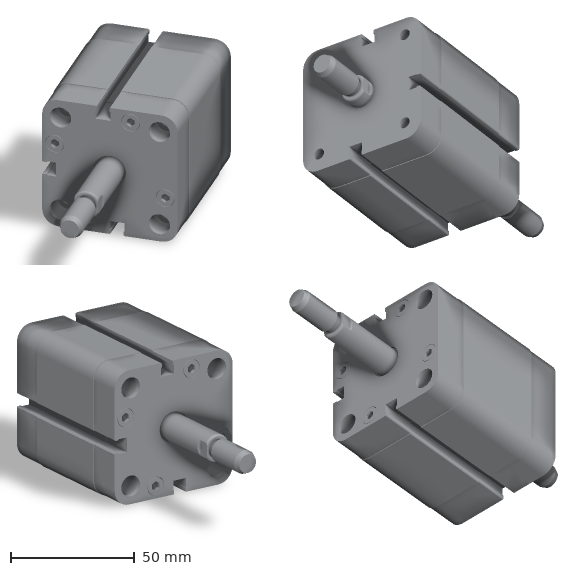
import cadquery as cq
import math

BODY_LENGTH = 70.5
CAP_LENGTH = 14.8
BARREL_LENGTH = BODY_LENGTH - 2 * CAP_LENGTH
BARREL_WIDTH = 58.1
CAP_SETBACK = 0.3
CAP_WIDTH = BARREL_WIDTH - 2 * CAP_SETBACK
CORNER_CENTRE = 21.75

SLOT_OFFSET = 3.0
SLOT_MOUTH_WIDTH = 5.5
SLOT_INNER_WIDTH = 6.3
SLOT_LIP_DEPTH = 1.9
SLOT_MOUTH_CHAMFER = 0.3
SLOT_DEPTH = 5.9
SLOT_TURNS = (0, 90, 180)

MOUNT_SPACING = 42.0
MOUNT_HOLE_DIAMETER = 4.92
MOUNT_BORE_DIAMETER = 9.0
MOUNT_BORE_DEPTH = 10.0

SCREW_COUNT = 4
SCREW_CIRCLE_RADIUS = 25.0
SCREW_ANGLE = 20.5
SCREW_HEAD_DIAMETER = 7.5
SCREW_BORE_DIAMETER = 7.9
SCREW_GAP_DEPTH = 1.0
HEX_ACROSS_FLATS = 3.5
HEX_DEPTH = 2.0

STROKE = 25.0
REAR_PROTRUSION = 28.5
FRONT_PROTRUSION = REAR_PROTRUSION + STROKE
ROD_DIAMETER = 12.0
ROD_BORE_DIAMETER = 13.6
ROD_GAP_DEPTH = 1.0
THREAD_DIAMETER = 10.0
TIP_DIAMETER = 8.0
TIP_CHAMFER_LENGTH = 2.5
UNDERCUT_DIAMETER = 8.0
UNDERCUT_START = 19.1
UNDERCUT_TAPER_LENGTH = 0.3
SHOULDER_START = 22.0
SHOULDER_FILLET = 1.0
FLATS_WIDTH = 10.0
FLATS_LENGTH = 4.4
FLATS_DEPTH = (ROD_DIAMETER - FLATS_WIDTH) / 2

FRONT_TIP_Y = -FRONT_PROTRUSION
REAR_TIP_Y = BODY_LENGTH + REAR_PROTRUSION


def xz_plane(y):
    """Workplane across the part at the given Y, with its normal along +Y and local y along -Z."""
    return cq.Workplane(cq.Plane(origin=(0, y, 0), xDir=(1, 0, 0), normal=(0, 1, 0)))


def cylinder(diameter, y, length):
    return xz_plane(y).circle(diameter / 2).extrude(length)


def slot_cutter(width, y, length):
    """Undercut slot, with a chamfered mouth, in the top side of a block of the given width."""
    top = width / 2
    floor = top - SLOT_DEPTH
    lip = top - SLOT_LIP_DEPTH
    chamfer_start = top - SLOT_MOUTH_CHAMFER
    inner = SLOT_INNER_WIDTH / 2
    mouth = SLOT_MOUTH_WIDTH / 2
    right_side = [
        (inner, floor),
        (inner, lip),
        (mouth, lip),
        (mouth, chamfer_start),
        (mouth + SLOT_MOUTH_CHAMFER, top),
    ]
    left_side = [(-x, z) for x, z in reversed(right_side)]
    profile = cq.Workplane("XZ").polyline(right_side + left_side).close()
    return profile.extrude(-length).translate((-SLOT_OFFSET, y, 0))


def turned(shape, angle):
    """Turn a shape about Y, so that +Z moves towards -X."""
    return shape.rotate((0, 0, 0), (0, 1, 0), -angle)


def housing_section(width, y, length):
    """Rounded square block with its slots."""
    block = xz_plane(y).rect(width, width).extrude(length)
    block = block.edges("|Y").fillet(width / 2 - CORNER_CENTRE)
    cutter = slot_cutter(width, y, length)
    for angle in SLOT_TURNS:
        block = block.cut(turned(cutter, angle))
    return block


def make_housing():
    front_cap = housing_section(CAP_WIDTH, 0, CAP_LENGTH)
    barrel = housing_section(BARREL_WIDTH, CAP_LENGTH, BARREL_LENGTH)
    rear_cap = housing_section(CAP_WIDTH, BODY_LENGTH - CAP_LENGTH, CAP_LENGTH)
    return front_cap.union(barrel).union(rear_cap)


def cut_mounting_holes(body):
    hole = cylinder(MOUNT_HOLE_DIAMETER, 0, BODY_LENGTH)
    hole = hole.union(cylinder(MOUNT_BORE_DIAMETER, 0, MOUNT_BORE_DEPTH))
    half = MOUNT_SPACING / 2
    for x in (-half, half):
        for z in (-half, half):
            body = body.cut(hole.translate((x, 0, z)))
    return body


def cut_screws(body):
    """Cut the clearance ring and the hexagon socket of each screw."""
    ring = cylinder(SCREW_BORE_DIAMETER, 0, SCREW_GAP_DEPTH)
    ring = ring.cut(cylinder(SCREW_HEAD_DIAMETER, 0, SCREW_GAP_DEPTH))
    across_corners = HEX_ACROSS_FLATS / math.cos(math.radians(30))
    socket = xz_plane(0).polygon(6, across_corners).extrude(HEX_DEPTH)
    socket = turned(socket, 90)
    for turn in range(SCREW_COUNT):
        angle = math.radians(90 - SCREW_ANGLE + turn * 360 / SCREW_COUNT)
        x = SCREW_CIRCLE_RADIUS * math.cos(angle)
        z = SCREW_CIRCLE_RADIUS * math.sin(angle)
        body = body.cut(ring.translate((x, 0, z)))
        body = body.cut(socket.translate((x, 0, z)))
    return body


def cut_rod_clearance(body):
    return body.cut(cylinder(ROD_BORE_DIAMETER, 0, ROD_GAP_DEPTH))


def flat_cutter(tip_y, inward):
    """Wrench flat on the +X side of a rod end, running out in a concave quarter round."""
    start = tip_y + inward * SHOULDER_START
    floor_end = start + inward * FLATS_LENGTH
    run_out = floor_end + inward * FLATS_DEPTH
    floor = FLATS_WIDTH / 2
    outside = ROD_DIAMETER / 2
    arc_mid_x = outside - FLATS_DEPTH * math.sqrt(0.5)
    arc_mid_y = floor_end + inward * FLATS_DEPTH * math.sqrt(0.5)
    outline = (
        cq.Workplane("XY")
        .moveTo(floor, start)
        .lineTo(floor, floor_end)
        .threePointArc((arc_mid_x, arc_mid_y), (outside, run_out))
        .lineTo(outside, start)
        .close()
    )
    return outline.extrude(ROD_DIAMETER / 2, both=True)


def rod_end(tip_y, inward):
    """Threaded end, undercut and rounded shoulder, turned about Y and reaching to the middle of the body."""
    def at(radius, distance):
        return (radius, tip_y + inward * distance)

    rod_radius = ROD_DIAMETER / 2
    arc_inset = SHOULDER_FILLET * (1 - math.sqrt(0.5))
    outline = (
        cq.Workplane("XY")
        .moveTo(0, tip_y)
        .lineTo(*at(TIP_DIAMETER / 2, 0))
        .lineTo(*at(THREAD_DIAMETER / 2, TIP_CHAMFER_LENGTH))
        .lineTo(*at(THREAD_DIAMETER / 2, UNDERCUT_START))
        .lineTo(*at(UNDERCUT_DIAMETER / 2, UNDERCUT_START + UNDERCUT_TAPER_LENGTH))
        .lineTo(*at(UNDERCUT_DIAMETER / 2, SHOULDER_START))
        .lineTo(*at(rod_radius - SHOULDER_FILLET, SHOULDER_START))
        .threePointArc(
            at(rod_radius - arc_inset, SHOULDER_START + arc_inset),
            at(rod_radius, SHOULDER_START + SHOULDER_FILLET),
        )
        .lineTo(rod_radius, BODY_LENGTH / 2)
        .lineTo(0, BODY_LENGTH / 2)
        .close()
    )
    end = outline.revolve(360, (0, 0, 0), (0, 1, 0))
    flat = flat_cutter(tip_y, inward)
    return end.cut(flat).cut(flat.mirror("YZ"))


def make_rod():
    return rod_end(FRONT_TIP_Y, 1).union(rod_end(REAR_TIP_Y, -1))


body = make_housing()
body = cut_mounting_holes(body)
body = cut_screws(body)
body = cut_rod_clearance(body)
result = body.union(make_rod())